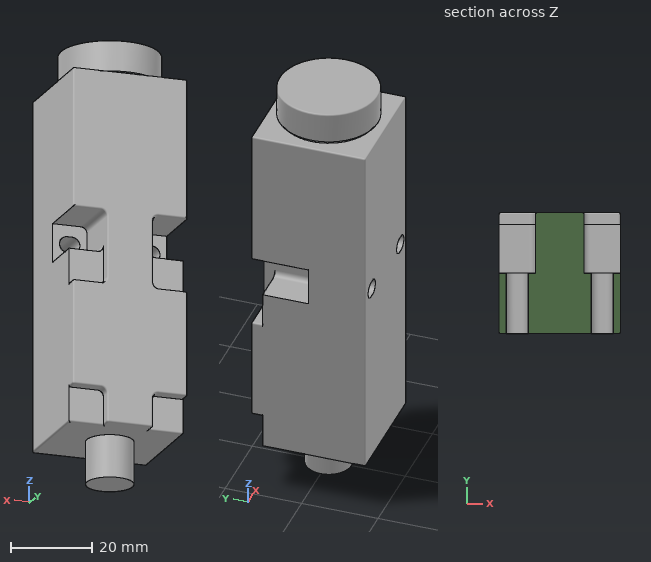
import cadquery as cq

total_height = 111
body_side = 30
body_height = 91
edge_radius = 0.5

stem_diameter = 12.0
stem_length = 11.0

neck_diameter = 24.0
neck_height = 1.0
cap_diameter = 25.8

slot_length = 5.3
slot_height = 4.1
slot_spacing = 21.0
slot_level = 50

relief_corner_radius = 1.5
notch_height = 10
channel_depth = 3.0
pad_bottom = 9.0
pad_top = 36.1

half_side = body_side / 2
notch_depth = half_side
cap_height = total_height - stem_length - body_height - neck_height
notch_bottom = slot_level - notch_height / 2
notch_top = slot_level + notch_height / 2
relief_width = body_side - slot_spacing


def side_relief(side, bottom, top, depth):
    """Pocket open to one X side and to +Y, with rounded inner corners."""
    width = 2 * relief_width
    block = (
        cq.Workplane("XY")
        .box(width, depth, top - bottom, centered=(True, False, False))
        .edges("|Y")
        .fillet(relief_corner_radius)
    )
    return block.translate((side * half_side, half_side - depth, bottom))


def cut_reliefs(body):
    """Cut a notch over each slot and the channels above and below each pad."""
    for side in (-1, 1):
        body = body.cut(side_relief(side, notch_bottom, notch_top, notch_depth))
        body = body.cut(side_relief(side, pad_top, notch_top, channel_depth))
        body = body.cut(side_relief(side, -pad_bottom, pad_bottom, channel_depth))
    return body


def round_pad_edges(body):
    """Round the convex edges where each pad meets the channels."""
    for level in (pad_bottom, pad_top):
        for side in (-1, 1):
            corner = (side * half_side, half_side - channel_depth / 2, level)
            body = body.edges(cq.selectors.NearestToPointSelector(corner)).fillet(edge_radius)
    return body


def mounting_slots():
    """Horizontal slots running through the body along Y."""
    return (
        cq.Workplane("XZ")
        .pushPoints([(-slot_spacing / 2, slot_level), (slot_spacing / 2, slot_level)])
        .slot2D(slot_length, slot_height)
        .extrude(half_side, both=True)
    )


def make_body():
    """Square body with rounded outer edges, side reliefs and slots."""
    body = cq.Workplane("XY").box(body_side, body_side, body_height, centered=(True, True, False))
    body = round_pad_edges(cut_reliefs(body))
    body = body.faces("<Y or >Y or <Z or >Z").edges().fillet(edge_radius)
    return body.cut(mounting_slots())


def make_button():
    """Cap on a slightly narrower neck."""
    neck = cq.Workplane("XY").workplane(offset=body_height).circle(neck_diameter / 2).extrude(neck_height)
    cap = neck.faces(">Z").workplane().circle(cap_diameter / 2).extrude(cap_height, combine=False)
    return neck.union(cap.faces(">Z").edges().fillet(edge_radius))


stem = cq.Workplane("XY").circle(stem_diameter / 2).extrude(-stem_length)
result = make_body().union(make_button()).union(stem)